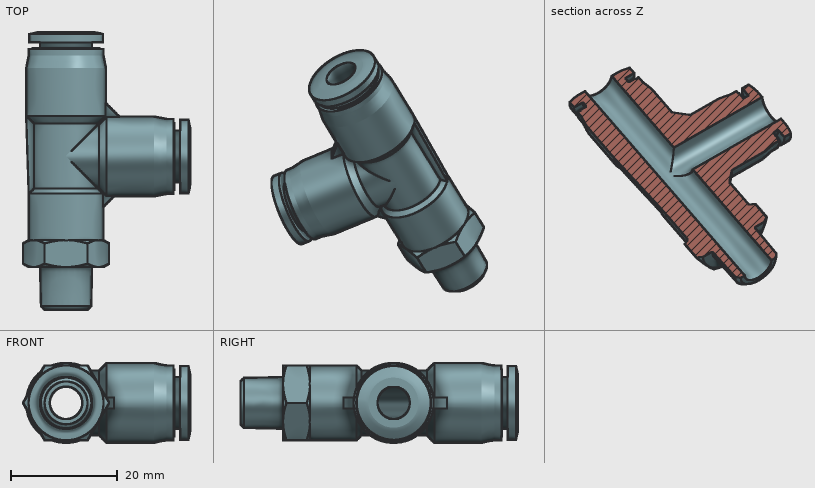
import cadquery as cq
import math


port_reach = 23.35
stem_radius = 6.1
port_radius = 7.5
port_start = 7.6
port_taper_start = 16.5
port_mouth_start = 18.9
port_mouth_end = 20.15
port_mouth_radius = 7.05
seat_radius = 6.3
seat_length = 0.15
neck_radius = 4.9
collar_start = 21.35
collar_radius = 6.95
collar_dome_height = 0.4
collar_face_radius = 4.7
dome_mid_radius = 5.95
dome_mid_drop = 0.15

overall_length = 52.1
male_reach = overall_length - port_reach
barrel_start = 7.0
barrel_radius = 7.05
hex_flats = 14.0
hex_start = 15.7
hex_end = 20.75
hex_chamfer_angle = 30
thread_root_radius = 4.9
thread_tip_radius = 4.75
thread_chamfer = 0.75
bore_radius = 3.0

web_thickness = 2.1
upper_gusset_sum = 17.45
lower_gusset_sum = 16.45


def make_port():
    """Stem, port body and release collar revolved about +Y."""
    return (
        cq.Workplane("XY")
        .lineTo(stem_radius, 0)
        .lineTo(stem_radius, port_start - (port_radius - stem_radius))
        .lineTo(port_radius, port_start)
        .lineTo(port_radius, port_taper_start)
        .lineTo(port_mouth_radius, port_mouth_start)
        .lineTo(port_mouth_radius, port_mouth_end)
        .lineTo(seat_radius, port_mouth_end)
        .lineTo(seat_radius, port_mouth_end + seat_length)
        .lineTo(neck_radius, port_mouth_end + seat_length)
        .lineTo(neck_radius, collar_start)
        .lineTo(collar_radius, collar_start)
        .lineTo(collar_radius, port_reach - collar_dome_height)
        .threePointArc(
            (dome_mid_radius, port_reach - dome_mid_drop),
            (collar_face_radius, port_reach),
        )
        .lineTo(0, port_reach)
        .close()
        .revolve(360, (0, 0, 0), (0, 1, 0))
    )


def make_branch(upright):
    """Turn a shape pointing along +Y so that it points along +X.

    A 45 degree wedge keeps the stem mitred at the origin.
    """
    wedge = (
        cq.Workplane("XY")
        .polyline([(0, 0), (port_reach, port_reach), (port_reach, -port_reach)])
        .close()
        .extrude(port_radius * 2, both=True)
    )
    return upright.rotate((0, 0, 0), (0, 0, 1), -90).intersect(wedge)


def make_male_end():
    """Stem, barrel and tapered thread revolved about -Y."""
    return (
        cq.Workplane("XY")
        .lineTo(stem_radius, 0)
        .lineTo(stem_radius, -barrel_start + barrel_radius - stem_radius)
        .lineTo(barrel_radius, -barrel_start)
        .lineTo(barrel_radius, -hex_start)
        .lineTo(thread_root_radius, -hex_end)
        .lineTo(thread_tip_radius, -male_reach + thread_chamfer)
        .lineTo(thread_tip_radius - thread_chamfer, -male_reach)
        .lineTo(0, -male_reach)
        .close()
        .revolve(360, (0, 0, 0), (0, 1, 0))
    )


def make_hex():
    """Hexagon with corners on the X axis, coned at both ends."""
    corner_radius = hex_flats / math.sqrt(3)
    face_radius = hex_flats / 2
    corner_drop = (corner_radius - face_radius) * math.tan(math.radians(hex_chamfer_angle))
    prism = (
        cq.Workplane("XZ", origin=(0, -hex_start, 0))
        .polygon(6, 2 * corner_radius)
        .extrude(hex_end - hex_start)
    )
    cones = (
        cq.Workplane("XY")
        .moveTo(0, -hex_start)
        .lineTo(face_radius, -hex_start)
        .lineTo(corner_radius, -hex_start - corner_drop)
        .lineTo(corner_radius, -hex_end + corner_drop)
        .lineTo(face_radius, -hex_end)
        .lineTo(0, -hex_end)
        .close()
        .revolve(360, (0, 0, 0), (0, 1, 0))
    )
    return prism.intersect(cones)


def make_web():
    """Plate that fills the waist and forms a gusset on each side of the branch."""
    outline = [
        (-port_radius, port_start),
        (0, upper_gusset_sum - port_radius),
        (port_radius, upper_gusset_sum - port_radius),
        (upper_gusset_sum - port_radius, port_radius),
        (lower_gusset_sum - port_radius, -port_radius),
        (barrel_radius, barrel_radius - lower_gusset_sum),
        (0, barrel_radius - lower_gusset_sum),
        (-barrel_radius, -barrel_start),
    ]
    return cq.Workplane("XY").polyline(outline).close().extrude(web_thickness / 2, both=True)


port = make_port()
run_bore = cq.Workplane("XZ", origin=(0, port_reach, 0)).circle(bore_radius).extrude(overall_length)
branch_bore = cq.Workplane("YZ").circle(bore_radius).extrude(port_reach)

result = (
    port.union(make_male_end())
    .union(make_hex())
    .union(make_branch(port))
    .union(make_web())
    .cut(run_bore)
    .cut(branch_bore)
)